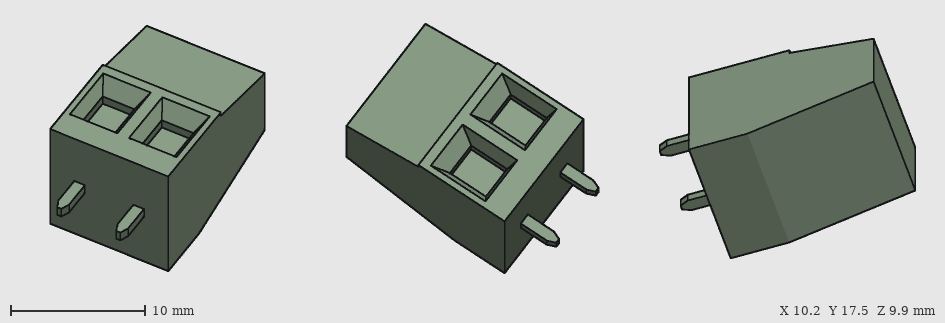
import cadquery as cq

pole_count = 2
pole_pitch = 5.08
total_length = 17.53
pin_length = 3.05
body_width = pole_count * pole_pitch
body_length = total_length - pin_length
body_height = 9.9

ledge_length = 7.89
ledge_step = 0.37
top_slope_drop = 1.17
bottom_flat_length = 4.6
bottom_slope_rise = 2.45

mouth_width = 4.08
mouth_start = 2.1
mouth_end = 7.1
well_width = 2.73
well_start = 2.55
well_end = 5.84
funnel_depth = 1.0
well_depth = 0.75

pin_width = 0.91
pin_thickness = 0.8
pin_center_height = 5.08
tip_width = 0.37
tip_length = 0.67

pole_positions = [(i - (pole_count - 1) / 2) * pole_pitch for i in range(pole_count)]


def make_body():
    """Extrude the stepped and sloped side profile across the full width."""
    slope_top = body_height - ledge_step
    outline = [
        (0, 0),
        (bottom_flat_length, 0),
        (body_length, bottom_slope_rise),
        (body_length, slope_top - top_slope_drop),
        (ledge_length, slope_top),
        (ledge_length, body_height),
        (0, body_height),
    ]
    return cq.Workplane("YZ").polyline(outline).close().extrude(body_width / 2, both=True)


def make_pocket(x):
    """Return the cutting solid of one wire pocket, centred on x."""
    mouth_center = (mouth_start + mouth_end) / 2
    well_center = (well_start + well_end) / 2
    well_length = well_end - well_start
    funnel_bottom = body_height - funnel_depth
    funnel = (
        cq.Workplane("XY", origin=(x, mouth_center, body_height))
        .rect(mouth_width, mouth_end - mouth_start)
        .workplane(offset=-funnel_depth)
        .center(0, well_center - mouth_center)
        .rect(well_width, well_length)
        .loft(ruled=True)
    )
    well = (
        cq.Workplane("XY", origin=(x, well_center, funnel_bottom))
        .rect(well_width, well_length)
        .extrude(-well_depth)
    )
    return funnel.union(well)


def make_pin(x):
    """Return one pin, centred on x, starting at the pin face."""
    shoulder = tip_length - pin_length
    outline = [
        (-pin_width / 2, 0),
        (-pin_width / 2, shoulder),
        (-tip_width / 2, -pin_length),
        (tip_width / 2, -pin_length),
        (pin_width / 2, shoulder),
        (pin_width / 2, 0),
    ]
    return (
        cq.Workplane("XY", origin=(x, 0, pin_center_height))
        .polyline(outline)
        .close()
        .extrude(pin_thickness / 2, both=True)
    )


result = make_body()
for pole_x in pole_positions:
    result = result.cut(make_pocket(pole_x)).union(make_pin(pole_x))